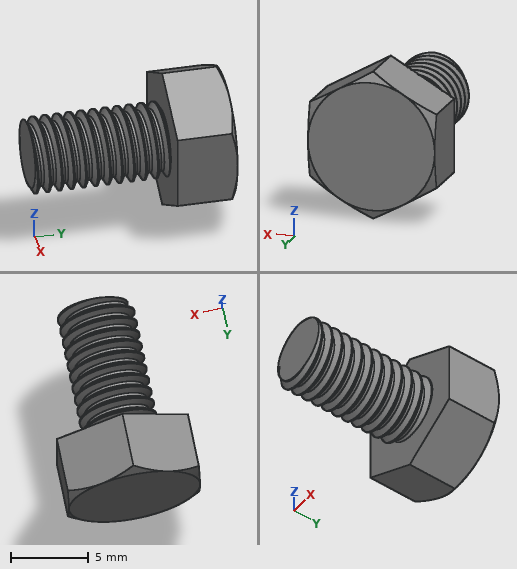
import cadquery as cq
import math

total_length = 13.0
head_height = 4.0
across_flats = 8.66
chamfer_angle = 30.0

across_corners = across_flats / math.cos(math.radians(30))
shank_length = total_length - head_height

thread_turns = 11 + 1 / 4
flank_half_angle = 30.0
root_overlap = 0.05

pitch = shank_length / thread_turns
major_radius = across_corners / 4
crest_width = pitch / 8
root_width = pitch / 4
flank_slope = math.tan(math.radians(flank_half_angle))
thread_depth = (pitch - crest_width - root_width) / 2 / flank_slope
minor_radius = major_radius - thread_depth

bolt_frame = cq.Plane(origin=(0, -shank_length, 0), xDir=(0, 0, 1), normal=(0, 1, 0))


def make_head():
    """Hexagon with corners on local x, its outer corners bevelled by a cone."""
    hexagon = (
        cq.Workplane("XY", origin=(0, 0, shank_length))
        .polygon(6, across_corners)
        .extrude(head_height)
    )
    flat_radius = across_flats / 2
    cone_radius = across_corners
    cone_drop = (cone_radius - flat_radius) * math.tan(math.radians(chamfer_angle))
    bevel_envelope = (
        cq.Workplane("XZ")
        .moveTo(0, shank_length)
        .lineTo(cone_radius, shank_length)
        .lineTo(cone_radius, total_length - cone_drop)
        .lineTo(flat_radius, total_length)
        .lineTo(0, total_length)
        .close()
        .revolve(360, (0, 0), (0, 1))
    )
    return hexagon.intersect(bevel_envelope)


def make_thread_ridge():
    """Helical ridge running past both ends of the shank, trimmed to its length."""
    start = -pitch - crest_width / 2
    inner_radius = minor_radius - root_overlap
    half_crest = crest_width / 2
    half_base = half_crest + (major_radius - inner_radius) * flank_slope
    helix = cq.Wire.makeHelix(
        pitch, shank_length + 2 * pitch, minor_radius, cq.Vector(0, 0, start)
    )
    ridge = (
        cq.Workplane("XZ")
        .polyline([
            (inner_radius, start - half_base),
            (major_radius, start - half_crest),
            (major_radius, start + half_crest),
            (inner_radius, start + half_base),
        ])
        .close()
        .sweep(cq.Workplane("XY").newObject([helix]), isFrenet=True)
    )
    shank_envelope = cq.Workplane("XY").circle(across_flats / 2).extrude(shank_length)
    return ridge.intersect(shank_envelope)


def make_core():
    """Plain cylinder at the root of the thread."""
    return cq.Workplane("XY").circle(minor_radius).extrude(shank_length)


bolt = make_core().union(make_thread_ridge()).union(make_head())
result = cq.Workplane("XY").newObject([bolt.solids().val().moved(cq.Location(bolt_frame))])